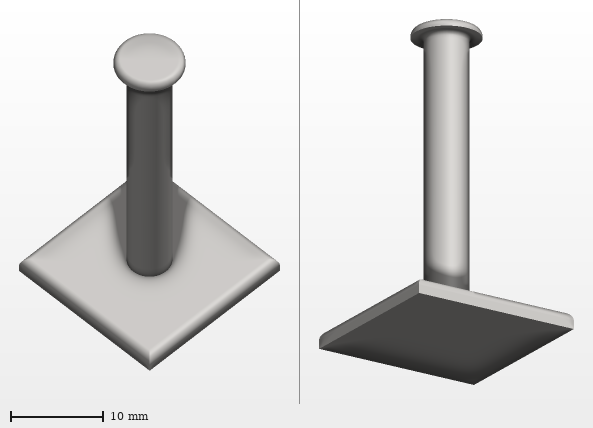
import cadquery as cq

total_height = 36.0
base_side = 20.0

base_thickness = base_side / 10
base_edge_radius = base_thickness / 2

post_diameter = 5.0
post_radius = post_diameter / 2

head_radius = 3.92
head_thickness = 1.0
head_edge_radius = 0.8
neck_fillet_radius = 0.45

head_bottom = total_height - head_thickness


def make_base():
    plate = cq.Workplane("XY").rect(base_side, base_side).extrude(base_thickness)
    return plate.faces(">Z").edges().fillet(base_edge_radius)


def make_post_and_head():
    """Revolve the half profile of the post, its concave neck fillet and the head."""
    neck_bottom = head_bottom - neck_fillet_radius
    neck_outer_radius = post_radius + neck_fillet_radius
    rim_bottom = total_height - head_edge_radius
    flat_top_radius = head_radius - head_edge_radius
    profile = (
        cq.Workplane("XZ")
        .moveTo(0, 0)
        .lineTo(post_radius, 0)
        .lineTo(post_radius, neck_bottom)
        .radiusArc((neck_outer_radius, head_bottom), neck_fillet_radius)
        .lineTo(head_radius, head_bottom)
        .lineTo(head_radius, rim_bottom)
        .radiusArc((flat_top_radius, total_height), -head_edge_radius)
        .lineTo(0, total_height)
        .close()
    )
    return profile.revolve(360, (0, 0, 0), (0, 1, 0))


result = make_base().union(make_post_and_head())